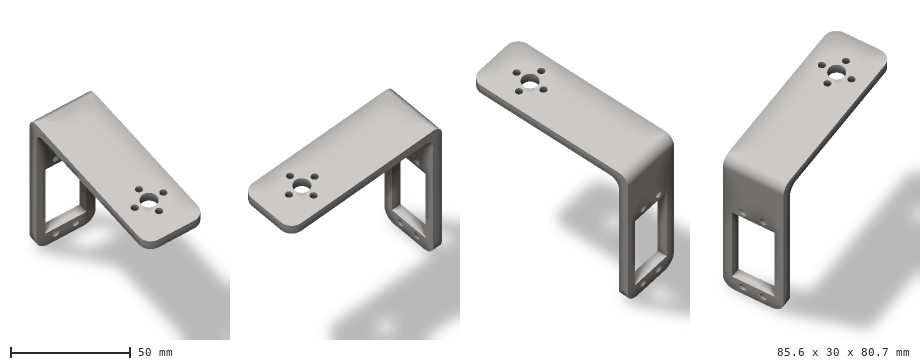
import cadquery as cq

length = 85.6
width = 30.0
height = 80.65
thickness = 5.0
bend_radius = 5.0
corner_radius = 6.0

hub_diameter = 8.0
screw_diameter = 3.4
hub_end_distance = 20.0
hub_screw_offset = 7.3

window_width = 20.8
window_height = 41.1
window_center_height = 28.4
window_screw_pitch_y = 10.0
window_screw_pitch_z = 48.0

hub_x = length - hub_end_distance


def make_bent_plate():
    """L-shaped plate with a rounded bend and rounded free corners."""
    plate = (
        cq.Workplane("XZ")
        .moveTo(0, 0)
        .lineTo(thickness, 0)
        .lineTo(thickness, height - thickness)
        .lineTo(length, height - thickness)
        .lineTo(length, height)
        .lineTo(0, height)
        .close()
        .extrude(width / 2, both=True)
    )
    inner_corner = (thickness, 0, height - thickness)
    outer_corner = (0, 0, height)
    for corner in (inner_corner, outer_corner):
        plate = plate.edges(cq.selectors.NearestToPointSelector(corner)).fillet(bend_radius)
    plate = plate.faces(">X").edges("|Z").fillet(corner_radius)
    return plate.faces("<Z").edges("|X").fillet(corner_radius)


def make_hub_holes():
    """Central hole with four screw holes around it, through the horizontal arm."""
    plane = cq.Workplane("XY", origin=(hub_x, 0, height - thickness))
    hub = plane.circle(hub_diameter / 2).extrude(thickness)
    screws = (
        plane.polarArray(hub_screw_offset, 0, 360, 4)
        .circle(screw_diameter / 2)
        .extrude(thickness)
    )
    return hub.union(screws)


def make_window_cut():
    """Window with a pair of screw holes above and below, through the vertical arm."""
    plane = cq.Workplane("YZ", origin=(0, 0, window_center_height))
    window = plane.rect(window_width, window_height).extrude(thickness)
    screws = (
        plane.rarray(window_screw_pitch_y, window_screw_pitch_z, 2, 2)
        .circle(screw_diameter / 2)
        .extrude(thickness)
    )
    return window.union(screws)


result = make_bent_plate().cut(make_hub_holes()).cut(make_window_cut())